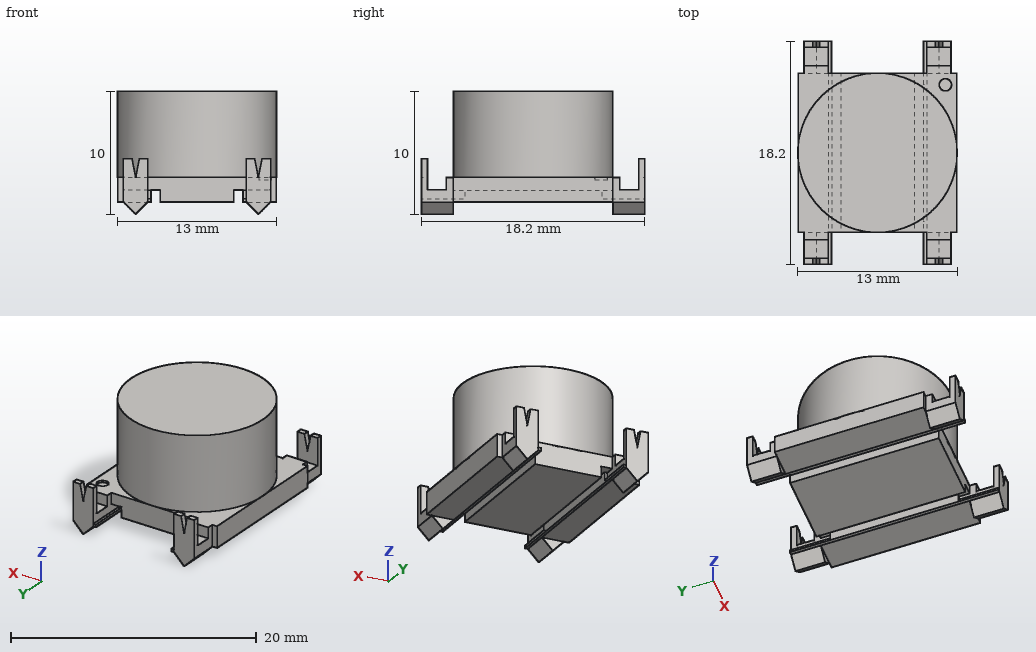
import cadquery as cq

LENGTH = 18.16
BODY_WIDTH = 12.97

CASE_DIAMETER = BODY_WIDTH
CASE_HEIGHT = 7.01

BASE_WIDTH = 12.9
BASE_LENGTH = BODY_WIDTH
BASE_THICKNESS = 2.0
MARK_OFFSET = 5.52
MARK_DIAMETER = 1.0
MARK_DEPTH = 0.18

LEG_SPACING = 9.97
LEG_WIDTH = 2.0
LEG_REACH = (LENGTH - BASE_LENGTH) / 2
LEG_FLOOR = 1.0
SHOULDER_LENGTH = 0.58
POST_THICKNESS = 0.5
POST_TOP = 3.52
TIP_DEPTH = 1.0
NOTCH_WIDTH = 0.6
NOTCH_DEPTH = 1.5

SLOT_INNER_X = 3.0
SLOT_OUTER_X = (LEG_SPACING - LEG_WIDTH) / 2
SLOT_HEIGHT = 0.96
LEAD_WIDTH = 0.25
LEAD_HEIGHT = 0.25
WEB_INSET = 0.9

SIDES = (-1, 1)


def make_case():
    """Plain cylinder resting on the top of the base."""
    return (
        cq.Workplane("XY")
        .workplane(offset=BASE_THICKNESS)
        .circle(CASE_DIAMETER / 2)
        .extrude(CASE_HEIGHT)
    )


def make_leg():
    """Leg centred on X = 0 that sticks out from the base along -Y."""
    root_y = -BASE_LENGTH / 2
    end_y = root_y - LEG_REACH
    step_y = root_y - SHOULDER_LENGTH
    post_y = end_y + POST_THICKNESS

    side_profile = (
        cq.Workplane("YZ")
        .polyline([
            (root_y, -TIP_DEPTH),
            (root_y, BASE_THICKNESS),
            (step_y, BASE_THICKNESS),
            (step_y, LEG_FLOOR),
            (post_y, LEG_FLOOR),
            (post_y, POST_TOP),
            (end_y, POST_TOP),
            (end_y, -TIP_DEPTH),
        ])
        .close()
        .extrude(LEG_WIDTH / 2, both=True)
    )

    end_profile = (
        cq.Workplane("XZ", origin=(0, root_y, 0))
        .polyline([
            (0, -TIP_DEPTH),
            (LEG_WIDTH / 2, 0),
            (LEG_WIDTH / 2, POST_TOP),
            (NOTCH_WIDTH / 2, POST_TOP),
            (0, POST_TOP - NOTCH_DEPTH),
            (-NOTCH_WIDTH / 2, POST_TOP),
            (-LEG_WIDTH / 2, POST_TOP),
            (-LEG_WIDTH / 2, 0),
        ])
        .close()
        .extrude(LEG_REACH)
    )
    return side_profile.intersect(end_profile)


def make_base():
    """Base plate with two underside slots, a pin-one mark and four legs."""
    base = cq.Workplane("XY").box(BASE_WIDTH, BASE_LENGTH, BASE_THICKNESS, centered=(True, True, False))

    slot_width = SLOT_OUTER_X - SLOT_INNER_X
    slot = cq.Workplane("XY").box(slot_width, BASE_LENGTH, SLOT_HEIGHT, centered=(True, True, False))
    for side in SIDES:
        base = base.cut(slot.translate((side * (SLOT_INNER_X + slot_width / 2), 0, 0)))

    mark = (
        cq.Workplane("XY", origin=(MARK_OFFSET, MARK_OFFSET, BASE_THICKNESS - MARK_DEPTH))
        .circle(MARK_DIAMETER / 2)
        .extrude(MARK_DEPTH)
    )
    base = base.cut(mark)

    front_leg = make_leg()
    for leg in (front_leg, front_leg.mirror("XZ")):
        for side in SIDES:
            base = base.union(leg.translate((side * LEG_SPACING / 2, 0, 0)))
    return base


def make_lead(side):
    """Lead against the outer slot wall: a low strip from end to end with a taller web under the base."""
    web_length = BASE_LENGTH - 2 * WEB_INSET
    strip = cq.Workplane("XY").box(LEAD_WIDTH, LENGTH, LEAD_HEIGHT, centered=(True, True, False))
    web = cq.Workplane("XY").box(LEAD_WIDTH, web_length, SLOT_HEIGHT, centered=(True, True, False))
    return strip.union(web).translate((side * (SLOT_OUTER_X - LEAD_WIDTH / 2), 0, 0))


case = make_case()
base = make_base()
leads = [make_lead(side) for side in SIDES]

result = cq.Compound.makeCompound([case.val(), base.val(), *[lead.val() for lead in leads]])